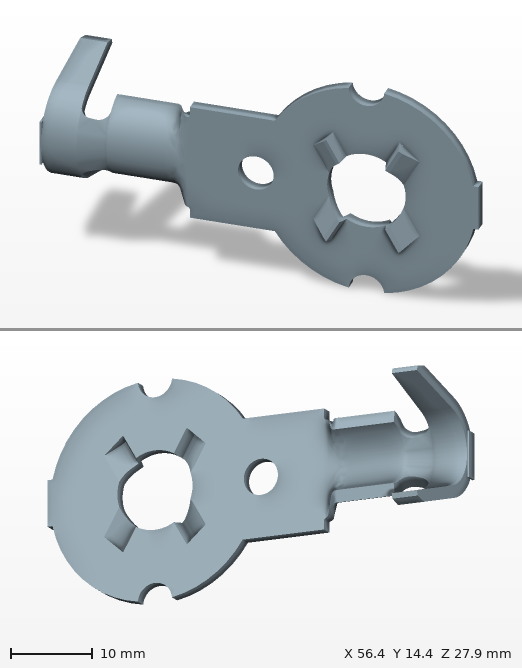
import cadquery as cq
import math

SHEET = 1.54
OVERALL_LENGTH = 56.39
OVERALL_DEPTH = 14.35

HEAD_RADIUS = 14.14
HOLE_RADIUS = 5.07
NOTCH_RADIUS = 2.3
SHANK_HALF_WIDTH = 7.72
SHANK_START_X = -22.83
SMALL_HOLE_RADIUS = 2.3
SMALL_HOLE_X = -14.3

STUB_HALF_WIDTH = 2.97
HEAD_STUB_X = 14.5
GRIP_STUB_X = HEAD_STUB_X - OVERALL_LENGTH
STUB_REACH = 0.25

RIDGE_HEIGHT = 1.6
RIDGE_STEEP_RUN = 0.5
RIDGE_CREST_END = 1.08
RIDGE_CREST_END_HEIGHT = 1.38
RIDGE_WIDTH = 3.36
RIDGE_ANGLE = 60.0
RIDGE_OUTER_LENGTH = 8.6
RIDGE_INNER_LENGTH = 7.9

BARREL_START_X = -33.7
BARREL_END_X = -26.05
BARREL_RADIUS = 5.5
BARREL_LEAN = 11.0
BARREL_HALF_ANGLE = 90.0 - BARREL_LEAN

FLAT_HALF_WIDTH = 6.28
FLATTENING_STEPS = 8
SHANK_CORNER_RADIUS = 0.3

GRIP_END_X = -37.1
GRIP_FLOOR_Y = -1.17
GRIP_RADIUS = 6.68
GRIP_LEAN = 17.4
GRIP_TIP_Y = OVERALL_DEPTH - RIDGE_HEIGHT
TIP_BEVEL_ACROSS = 0.86
TIP_BEVEL_ALONG = 1.45
GRIP_EDGE_X = -41.63
GRIP_EDGE_SLOPE = 0.089

NECK_HALF_ANGLE = 65.0
SLOT_TILT = 42.0
SLOT_FLOOR_Z = 3.48
SLOT_FLOOR_Y = 0.7
SLOT_DEPTH = 4.0
SLOT_GRIP_FILLET = 1.2
SLOT_BARREL_FILLET = 1.5


def trough_section(x, floor_y, outer_radius, half_angle):
    """Closed YZ outline of sheet bent to an arc, open toward +Y."""
    center_y = floor_y + outer_radius
    inner_radius = outer_radius - SHEET
    cosine = math.cos(math.radians(half_angle))
    sine = math.sin(math.radians(half_angle))

    def rim(radius, side):
        return (center_y - radius * cosine, side * radius * sine)

    return (
        cq.Workplane("YZ", origin=(x, 0, 0))
        .moveTo(*rim(outer_radius, -1))
        .threePointArc((floor_y, 0), rim(outer_radius, 1))
        .lineTo(*rim(inner_radius, 1))
        .threePointArc((floor_y + SHEET, 0), rim(inner_radius, -1))
        .close()
    )


def flat_plate():
    """Head, shank and end stub, without openings."""
    front = cq.Workplane("XZ")
    head = front.circle(HEAD_RADIUS).extrude(-SHEET)
    shank = cq.Workplane("XY").box(
        -SHANK_START_X, SHEET, 2 * SHANK_HALF_WIDTH, centered=(False, False, True)
    ).translate((SHANK_START_X, 0, 0))
    stub = cq.Workplane("XY").box(
        HEAD_STUB_X, SHEET, 2 * STUB_HALF_WIDTH, centered=(False, False, True)
    )
    notches = (
        front.pushPoints([(0, HEAD_RADIUS), (0, -HEAD_RADIUS)])
        .circle(NOTCH_RADIUS)
        .extrude(-SHEET)
    )
    return head.union(shank).union(stub).cut(notches)


def ridge():
    """Ridge bar of the upper right quarter, its outer end square to the sheet."""
    profile = (
        cq.Workplane("XY")
        .polyline([
            (0, 0),
            (RIDGE_STEEP_RUN, -RIDGE_HEIGHT),
            (RIDGE_CREST_END, -RIDGE_CREST_END_HEIGHT),
            (RIDGE_WIDTH, 0),
        ])
        .close()
        .extrude(RIDGE_OUTER_LENGTH)
    )
    end = (
        cq.Workplane("XZ")
        .polyline([
            (0, 0),
            (0, RIDGE_OUTER_LENGTH),
            (RIDGE_WIDTH, RIDGE_INNER_LENGTH),
            (RIDGE_WIDTH, 0),
        ])
        .close()
        .extrude(RIDGE_HEIGHT)
    )
    bar = profile.intersect(end)
    return bar.rotate((0, 0, 0), (0, 1, 0), 90 - RIDGE_ANGLE)


def all_ridges():
    upper_right = ridge()
    right = upper_right.union(upper_right.mirror("XY"))
    return right.union(right.mirror("YZ"))


def openings():
    front = cq.Workplane("XZ", origin=(0, -RIDGE_HEIGHT, 0))
    depth = -(SHEET + RIDGE_HEIGHT)
    hole = front.circle(HOLE_RADIUS).extrude(depth)
    small_hole = front.center(SMALL_HOLE_X, 0).circle(SMALL_HOLE_RADIUS).extrude(depth)
    return hole.union(small_hole)


def barrel():
    section = trough_section(BARREL_START_X, 0, BARREL_RADIUS, BARREL_HALF_ANGLE)
    return section.extrude(BARREL_END_X - BARREL_START_X)


def flattening():
    """Stretch where the trough opens out smoothly into the flat shank."""
    start_half_width = BARREL_RADIUS * math.sin(math.radians(BARREL_HALF_ANGLE))
    widening = FLAT_HALF_WIDTH - start_half_width
    length = SHANK_START_X - BARREL_END_X
    wires = []
    for step in range(FLATTENING_STEPS):
        t = step / FLATTENING_STEPS
        progress = t**3 * (10 - 15 * t + 6 * t**2)
        half_angle = BARREL_HALF_ANGLE * (1 - progress)
        rim_half_width = start_half_width + widening * progress
        outer_radius = rim_half_width / math.sin(math.radians(half_angle))
        section = trough_section(BARREL_END_X + t * length, 0, outer_radius, half_angle)
        wires.append(section.wires().val())
    flat = (
        cq.Workplane("YZ", origin=(SHANK_START_X, 0, 0))
        .moveTo(0, -FLAT_HALF_WIDTH)
        .lineTo(0, FLAT_HALF_WIDTH)
        .lineTo(SHEET, FLAT_HALF_WIDTH)
        .lineTo(SHEET, -FLAT_HALF_WIDTH)
        .close()
    )
    wires.append(flat.wires().val())
    return cq.Workplane(cq.Solid.makeLoft(wires))


def shank_coves():
    """Rounded inside corners where the opened-out sheet meets the wider shank."""
    center_z = FLAT_HALF_WIDTH + SHANK_CORNER_RADIUS
    center_x = SHANK_START_X - SHANK_CORNER_RADIUS
    upper = (
        cq.Workplane("XZ")
        .moveTo(center_x, FLAT_HALF_WIDTH - SHANK_CORNER_RADIUS)
        .lineTo(center_x, FLAT_HALF_WIDTH)
        .radiusArc((SHANK_START_X, center_z), -SHANK_CORNER_RADIUS)
        .lineTo(SHANK_START_X, FLAT_HALF_WIDTH - SHANK_CORNER_RADIUS)
        .close()
        .extrude(-SHEET)
    )
    return upper.union(upper.mirror("XY"))


def grip_leg():
    """Straight upper leg, from the end of the bend to its bevelled tip."""
    lean = math.radians(GRIP_LEAN)
    inner_radius = GRIP_RADIUS - SHEET
    center_y = GRIP_FLOOR_Y + GRIP_RADIUS
    root_y = center_y - inner_radius * math.sin(lean)
    root_z = inner_radius * math.cos(lean)
    length = (GRIP_TIP_Y - root_y) / math.cos(lean)
    leg = (
        cq.Workplane("YZ")
        .polyline([
            (0, 0),
            (length, 0),
            (length, SHEET - TIP_BEVEL_ACROSS),
            (length - TIP_BEVEL_ALONG, SHEET),
            (0, SHEET),
        ])
        .close()
        .extrude(GRIP_END_X - GRIP_STUB_X)
    )
    return leg.rotate((0, 0, 0), (1, 0, 0), GRIP_LEAN).translate((GRIP_STUB_X, root_y, root_z))


def grip():
    width = GRIP_END_X - GRIP_STUB_X
    bend = trough_section(GRIP_STUB_X, GRIP_FLOOR_Y, GRIP_RADIUS, 90 - GRIP_LEAN).extrude(width)
    leg = grip_leg()
    blank = bend.union(leg).union(leg.mirror("XY"))

    def edge_x(y):
        return GRIP_EDGE_X + GRIP_EDGE_SLOPE * y

    kept = (
        cq.Workplane("XY")
        .polyline([
            (edge_x(GRIP_FLOOR_Y), GRIP_FLOOR_Y),
            (edge_x(GRIP_TIP_Y), GRIP_TIP_Y),
            (GRIP_END_X, GRIP_TIP_Y),
            (GRIP_END_X, GRIP_FLOOR_Y),
        ])
        .close()
        .extrude(2 * GRIP_TIP_Y, both=True)
    )
    stub = cq.Workplane("XY").box(
        STUB_REACH, SHEET, 2 * STUB_HALF_WIDTH, centered=(False, False, True)
    ).translate((GRIP_STUB_X, GRIP_FLOOR_Y, 0))
    return blank.intersect(kept).union(stub)


def neck_slot():
    """Cutter for the upper side slot, square to the bent sheet, with rounded floor corners."""
    tilt = math.radians(SLOT_TILT)
    plane = cq.Plane(
        origin=(GRIP_END_X, SLOT_FLOOR_Y, SLOT_FLOOR_Z),
        xDir=(1, 0, 0),
        normal=(0, -math.cos(tilt), math.sin(tilt)),
    )
    width = BARREL_START_X - GRIP_END_X
    return (
        cq.Workplane(plane)
        .moveTo(0, SLOT_DEPTH)
        .lineTo(0, SLOT_GRIP_FILLET)
        .radiusArc((SLOT_GRIP_FILLET, 0), -SLOT_GRIP_FILLET)
        .lineTo(width - SLOT_BARREL_FILLET, 0)
        .radiusArc((width, SLOT_BARREL_FILLET), -SLOT_BARREL_FILLET)
        .lineTo(width, SLOT_DEPTH)
        .close()
        .extrude(2 * SHEET, both=True)
    )


def neck():
    grip_end = trough_section(GRIP_END_X, GRIP_FLOOR_Y, GRIP_RADIUS, NECK_HALF_ANGLE)
    barrel_end = trough_section(BARREL_START_X, 0, BARREL_RADIUS, NECK_HALF_ANGLE)
    body = cq.Workplane(
        cq.Solid.makeLoft([grip_end.wires().val(), barrel_end.wires().val()], True)
    )
    slot = neck_slot()
    return body.cut(slot).cut(slot.mirror("XY"))


ridges = all_ridges()
grooves = ridges.translate((0, SHEET, 0))
plate = flat_plate().union(ridges).cut(grooves).cut(openings())
result = plate.union(shank_coves()).union(flattening()).union(barrel()).union(neck()).union(grip())